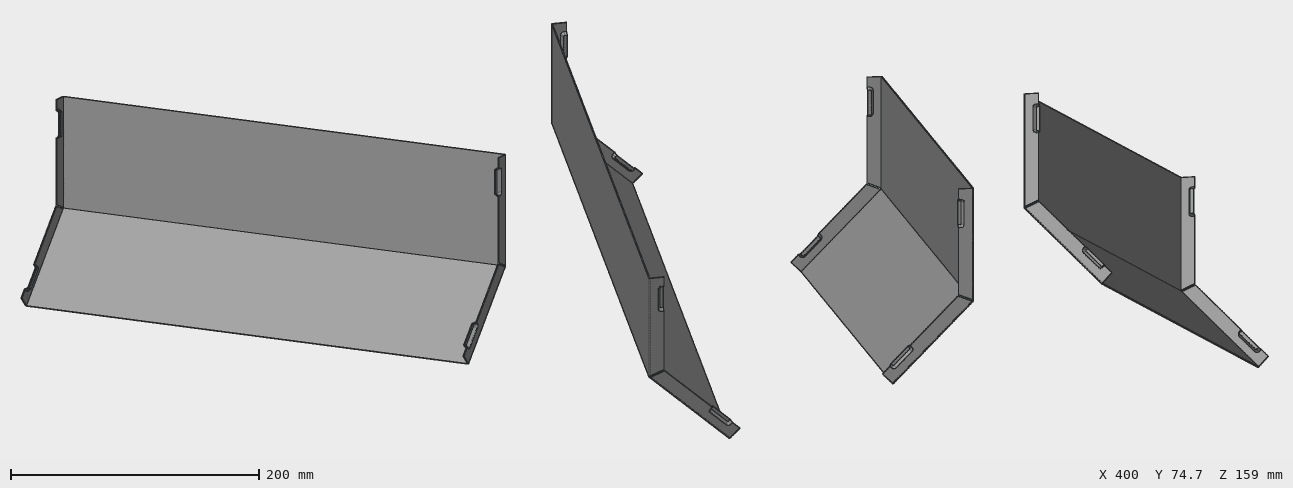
import cadquery as cq
import math

width = 400.0
height = 159.0
bend_angle = 45.0
flange_depth = 12.5
sheet = 1.0
bend_radius = 0.95
seam_gap = 1.0

tab_length = 25.5
tab_reach = 5.5
tab_offset = 7.5
tab_depth = 4.0
tab_corner = 3.5
tab_wall_slope = 32.0

tilt = math.radians(bend_angle)
leg_length = height / (1 + math.cos(tilt))
mitre_slope = math.tan(tilt / 2)
half_seam = seam_gap / 2 / math.cos(tilt / 2)


def mitred_block(x_length, front, back, lift=0.0):
    """Block of the upright leg between two Y planes, cut to the mitre at its foot."""
    return (
        cq.Workplane("YZ")
        .polyline([
            (front, -front * mitre_slope + lift),
            (back, -back * mitre_slope + lift),
            (back, leg_length),
            (front, leg_length),
        ])
        .close()
        .extrude(x_length / 2, both=True)
    )


def tab_block(inset):
    """Block of the right-hand tab, shrunk by the inset on its three sloping walls and its floor.

    The tapered block runs past the free edge and is trimmed there, so that side stays open.
    """
    depth = tab_depth - inset
    wall_inset = inset / math.cos(math.radians(tab_wall_slope))
    length = tab_length - 2 * wall_inset
    reach = tab_reach - wall_inset
    outline = cq.Sketch().rect(length, 2 * reach).vertices().fillet(tab_corner - wall_inset)
    block = cq.Workplane("ZY").placeSketch(outline).extrude(depth, taper=tab_wall_slope)
    trim = cq.Workplane("XY").box(4 * depth, reach, length, centered=(True, False, True))
    return block.intersect(trim).translate((
        width / 2,
        -flange_depth,
        leg_length - tab_offset - tab_length / 2,
    ))


def make_leg():
    """Upright leg: a thin panel with a flange and a pressed tab at each end."""
    leg = mitred_block(width, -flange_depth, 0)
    leg = leg.edges("|Z and >Y").fillet(bend_radius)
    leg = leg.cut(mitred_block(width - 2 * sheet, -flange_depth, -sheet))

    seam = mitred_block(width, -flange_depth, -sheet).cut(
        mitred_block(width, -flange_depth, -sheet, lift=half_seam)
    )
    leg = leg.cut(seam)

    tab = tab_block(0)
    hollow = tab_block(sheet)
    leg = leg.union(tab).union(tab.mirror("YZ"))
    return leg.cut(hollow).cut(hollow.mirror("YZ"))


upper_leg = make_leg()

lower_leg = upper_leg.mirror("XY").rotate((0, 0, 0), (1, 0, 0), -bend_angle)

result = upper_leg.union(lower_leg)